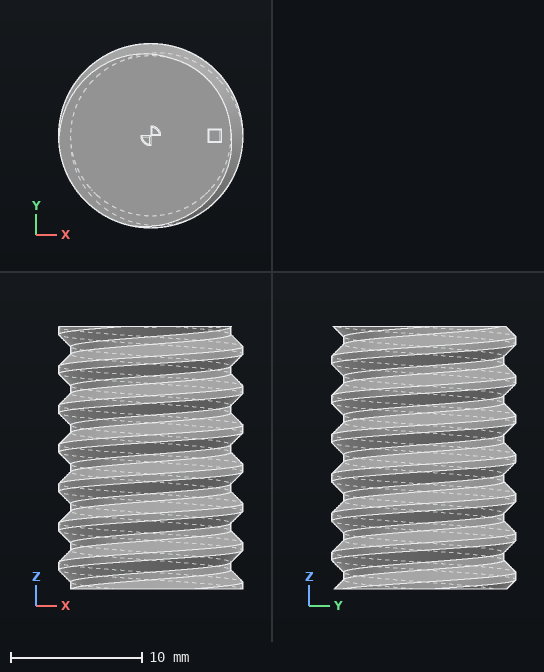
import cadquery as cq
import math

length = 20.0
major_radius = 7.02

turns = 6.7
pitch = length / turns
thread_depth = 0.92
root_width = 0.58
minor_radius = major_radius - thread_depth
crest_width = pitch - root_width - 2 * thread_depth
root_drop = 0.35

ridge_sink = 0.1
ridge_turns = math.ceil(turns) + 2
ridge_start = length - root_drop + pitch / 2 - (ridge_turns - 1) * pitch
overrun = 3 * pitch

mark_depth = 0.1
mark_taper = 45
square_side = 1.05
square_offset = 4.85
sector_radius = 0.75
sector_middle = sector_radius * math.sqrt(0.5)


def make_core():
    core_length = length + 2 * overrun
    return cq.Workplane("XY").workplane(offset=-overrun).circle(minor_radius).extrude(core_length)


def make_ridge():
    """Trapezoid in the XZ plane swept along a helix, narrow side outward."""
    base_radius = minor_radius - ridge_sink
    half_crest = crest_width / 2
    half_base = half_crest + thread_depth + ridge_sink
    helix = cq.Wire.makeHelix(pitch, ridge_turns * pitch, base_radius)
    helix = helix.translate(cq.Vector(0, 0, ridge_start))
    profile = cq.Workplane("XZ").polyline(
        [
            (base_radius, ridge_start - half_base),
            (base_radius, ridge_start + half_base),
            (major_radius, ridge_start + half_crest),
            (major_radius, ridge_start - half_crest),
        ]
    )
    return profile.close().sweep(cq.Workplane(helix), isFrenet=True)


def make_screw():
    """Core and ridge joined, then cut off square at both ends."""
    trim_side = 3 * major_radius
    trim_block = cq.Workplane("XY").rect(trim_side, trim_side).extrude(length)
    return make_core().union(make_ridge()).intersect(trim_block)


def square_mark():
    top = cq.Workplane("XY").workplane(offset=length).center(square_offset, 0)
    return top.rect(square_side, square_side).extrude(-mark_depth, taper=mark_taper)


def sector_mark(side):
    """Quarter disc with its corner on the axis, toward +X+Y (1) or -X-Y (-1)."""
    return (
        cq.Workplane("XY")
        .workplane(offset=length)
        .lineTo(side * sector_radius, 0)
        .threePointArc(
            (side * sector_middle, side * sector_middle),
            (0, side * sector_radius),
        )
        .close()
        .extrude(-mark_depth, taper=mark_taper)
    )


result = make_screw().cut(square_mark())
for side in (1, -1):
    result = result.cut(sector_mark(side))